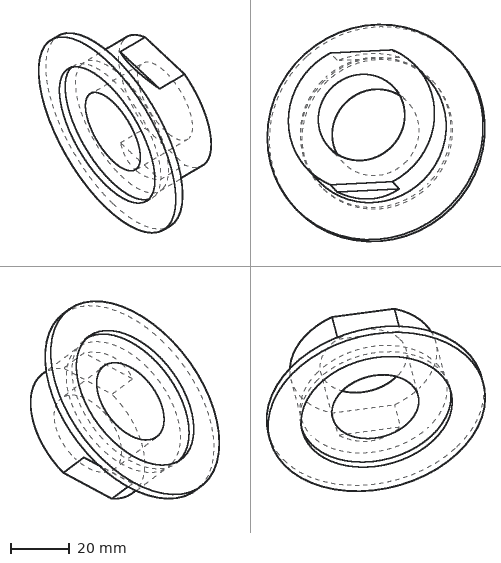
import cadquery as cq

flange_diameter = 75
hub_diameter = 50.8
bore_diameter = 30
recess_diameter = 52.2
total_length = 25.0
rim_thickness = 3
cone_end = 6.3
recess_depth = 2.5

across_flats = 46.0
flat_length = 10.8

flange_radius = flange_diameter / 2
hub_radius = hub_diameter / 2
bore_radius = bore_diameter / 2
recess_radius = recess_diameter / 2


def turned_body():
    """Revolve the half section, drawn as (radius, distance along Y)."""
    return (
        cq.Workplane("XY")
        .moveTo(bore_radius, recess_depth)
        .lineTo(recess_radius, recess_depth)
        .lineTo(recess_radius, 0)
        .lineTo(flange_radius, 0)
        .lineTo(flange_radius, rim_thickness)
        .lineTo(hub_radius, cone_end)
        .lineTo(hub_radius, total_length)
        .lineTo(bore_radius, total_length)
        .close()
        .revolve(360, (0, 0, 0), (0, 1, 0))
    )


def flat_cutter():
    """Material removed above the upper flat, spanning the full hub width."""
    flat_height = across_flats / 2
    flat_start = total_length - flat_length
    run_out = hub_radius - flat_height
    return (
        cq.Workplane("YZ")
        .moveTo(total_length, flat_height)
        .lineTo(flat_start, flat_height)
        .lineTo(flat_start - run_out, hub_radius)
        .lineTo(total_length, hub_radius)
        .close()
        .extrude(hub_radius, both=True)
    )


upper_cutter = flat_cutter()
lower_cutter = upper_cutter.mirror("XY")
result = turned_body().cut(upper_cutter).cut(lower_cutter)